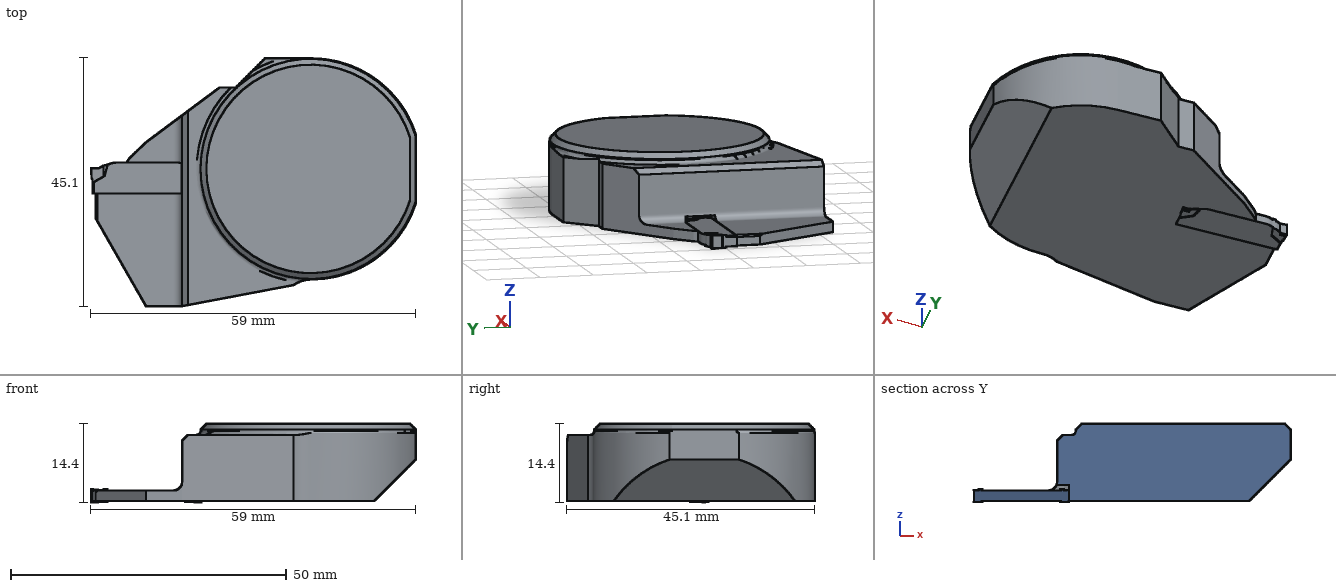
import cadquery as cq


holder_height = 14.05
block_height = 12.05
disc_radius = 20.0
body_radius = 20.1
flat_x = 19.1
edge_chamfer = 1.05
disc_fillet = 0.7
back_chamfer = 7.55
wall_x = -23.35
wall_fillet = 1.55
ear_x = -8.25
shoulder_y = 14.8
shoulder_x = -16.5
blend_start = (-3.05, -21.1)
blend_middle = (-1.55, -20.35)

plate_height = 1.95
plate_min_x = -39.05
plate_min_y = -24.95
plate_corner_x = -29.9
plate_back_y = 4.85
plate_nose = (-33.0, 1.9)
plate_tuck = (-34.2, 0.0)
plate_end_y = -8.95
plate_bevel_width = 0.35
plate_bevel_depth = 0.35

insert_middle_x = -29.85
insert_thickness = plate_height
insert_side_y = -4.5
insert_far_side_y = 1.2
insert_end = 9.8
insert_bevel_width = 0.3
insert_bevel_depth = 0.2
tip_end = 10.05
tip_side_y = 0.1
tip_front_corner = (10.0, -1.65)
tip_corner_y = -1.95
tip_side_back = 8.7
tip_flank_back = (7.85, 0.6)
tip_neck = (7.0, 0.75)
shoulder_arc_middle = (6.25, 1.05)
shoulder_arc_end = 5.35
tip_slope_end = (7.55, -1.25)
tip_slope_start = (9.8, -2.6)
tip_rise = 0.25
tip_drop = 0.2
lip_back = 8.8
lip_side_y = -0.35
lip_drop = 0.3
groove_back = 7.7
pocket_height = 2.9


def left_of_middle(point):
    """Place a (distance from the insert middle, Y) point on the left half of the insert."""
    distance, y = point
    return (insert_middle_x - distance, y)


def with_mirror_image(left_half):
    """Join a left half with its mirror image about the middle of the insert."""
    return left_half.union(left_half.mirror("YZ", (insert_middle_x, 0, 0)))


def insert_prism(bottom, top):
    """Upright prism over the whole insert outline."""
    left_half = (
        cq.Workplane("XY", origin=(0, 0, bottom))
        .moveTo(insert_middle_x, insert_side_y)
        .lineTo(*left_of_middle((insert_end, insert_side_y)))
        .lineTo(*left_of_middle((insert_end, tip_corner_y)))
        .lineTo(*left_of_middle(tip_front_corner))
        .lineTo(*left_of_middle((tip_end, tip_side_y)))
        .lineTo(*left_of_middle((tip_side_back, tip_side_y)))
        .lineTo(*left_of_middle(tip_flank_back))
        .lineTo(*left_of_middle(tip_neck))
        .threePointArc(
            left_of_middle(shoulder_arc_middle),
            left_of_middle((shoulder_arc_end, insert_far_side_y)),
        )
        .lineTo(insert_middle_x, insert_far_side_y)
        .close()
        .extrude(top - bottom)
    )
    return with_mirror_image(left_half)


def outline_prism(points, bottom, top):
    """Upright prism over a polygon."""
    return cq.Workplane("XY", origin=(0, 0, bottom)).polyline(points).close().extrude(top - bottom)


def side_prism(points, y_start, y_end):
    """Prism along Y over a polygon of (X, Z) points."""
    return cq.Workplane("XZ", origin=(0, y_end, 0)).polyline(points).close().extrude(y_end - y_start)


def holder_outline():
    """Holder footprint, extruded to the top of the block."""
    return (
        cq.Workplane("XY")
        .moveTo(0, body_radius)
        .lineTo(ear_x, body_radius)
        .lineTo(ear_x - (body_radius - shoulder_y), shoulder_y)
        .lineTo(shoulder_x, shoulder_y)
        .lineTo(plate_corner_x, plate_back_y)
        .lineTo(*plate_nose)
        .lineTo(*plate_tuck)
        .lineTo(plate_min_x, insert_side_y)
        .lineTo(plate_min_x, plate_end_y)
        .lineTo(plate_corner_x, plate_min_y)
        .lineTo(wall_x, plate_min_y)
        .lineTo(*blend_start)
        .threePointArc(blend_middle, (0, -body_radius))
        .threePointArc((body_radius, 0), (0, body_radius))
        .close()
        .extrude(block_height)
    )


def above_plate():
    """Space in front of the wall, with the hollow at its foot and the bevel at its top."""
    front_x = plate_min_x - plate_bevel_width
    profile = (
        cq.Workplane("XZ", origin=(0, body_radius, 0))
        .moveTo(front_x, plate_height)
        .lineTo(wall_x - wall_fillet, plate_height)
        .radiusArc((wall_x, plate_height + wall_fillet), -wall_fillet)
        .lineTo(wall_x, block_height - edge_chamfer)
        .lineTo(wall_x + edge_chamfer, block_height)
        .lineTo(front_x, block_height)
        .close()
    )
    return profile.extrude(body_radius - plate_min_y)


def plate_bevel():
    """Bevel along the upper front edge of the plate."""
    points = [
        (plate_min_x, plate_height),
        (plate_min_x + plate_bevel_width, plate_height),
        (plate_min_x, plate_height - plate_bevel_depth),
    ]
    return side_prism(points, plate_min_y, insert_side_y)


def disc():
    """Round disc with a bevelled top; a hollow flare at its foot is trimmed to the block outline."""
    round_disc = (
        cq.Workplane("XZ")
        .moveTo(0, block_height)
        .lineTo(disc_radius + disc_fillet, block_height)
        .radiusArc((disc_radius, block_height + disc_fillet), disc_fillet)
        .lineTo(disc_radius, holder_height - edge_chamfer)
        .lineTo(disc_radius - edge_chamfer, holder_height)
        .lineTo(0, holder_height)
        .close()
        .revolve(360, (0, 0, 0), (0, 1, 0))
    )
    return round_disc.intersect(holder_outline().translate((0, 0, block_height)))


def beyond_flat():
    """Space beyond the +X flat, with the bevel above it and the 45 degree cut below it."""
    outer_x = flat_x + body_radius
    points = [
        (flat_x - back_chamfer, 0),
        (flat_x, back_chamfer),
        (flat_x, holder_height - edge_chamfer),
        (flat_x - edge_chamfer, holder_height),
        (outer_x, holder_height),
        (outer_x, 0),
    ]
    return side_prism(points, -body_radius, body_radius)


def make_holder():
    block = holder_outline().cut(above_plate()).cut(plate_bevel())
    holder = block.union(disc()).cut(beyond_flat())
    return holder.cut(insert_prism(0, pocket_height))


def cutting_tip():
    """Raised tip at the left end, with a deeper lip and a chip groove that falls inwards."""
    tip_top = insert_thickness + tip_rise
    tip_points = [
        (tip_end, tip_side_y),
        (tip_side_back, tip_side_y),
        tip_flank_back,
        tip_neck,
        tip_slope_end,
        tip_slope_start,
        (insert_end, tip_corner_y),
        tip_front_corner,
    ]
    tip = outline_prism([left_of_middle(point) for point in tip_points], -tip_drop, tip_top)
    lip_points = [
        (tip_end, tip_side_y),
        (lip_back, tip_side_y),
        (lip_back, lip_side_y),
        (insert_end, lip_side_y),
    ]
    lip = outline_prism([left_of_middle(point) for point in lip_points], -lip_drop, 0)
    groove = side_prism(
        [
            (insert_middle_x - tip_end, tip_top),
            (insert_middle_x - groove_back, tip_top),
            (insert_middle_x - groove_back, insert_thickness),
        ],
        insert_side_y,
        insert_far_side_y,
    )
    return tip.cut(groove).union(lip)


def insert_bevel():
    """Bevel along the upper edge of the plain part of the left end."""
    end_x = insert_middle_x - insert_end
    points = [
        (end_x, insert_thickness),
        (end_x + insert_bevel_width, insert_thickness),
        (end_x, insert_thickness - insert_bevel_depth),
    ]
    return side_prism(points, insert_side_y, tip_slope_start[1])


def make_insert():
    blank = insert_prism(0, insert_thickness)
    bevels = with_mirror_image(insert_bevel())
    tips = with_mirror_image(cutting_tip())
    return blank.cut(bevels).union(tips)


holder = make_holder()
insert = make_insert()
result = cq.Compound.makeCompound([holder.solids().val(), insert.solids().val()])